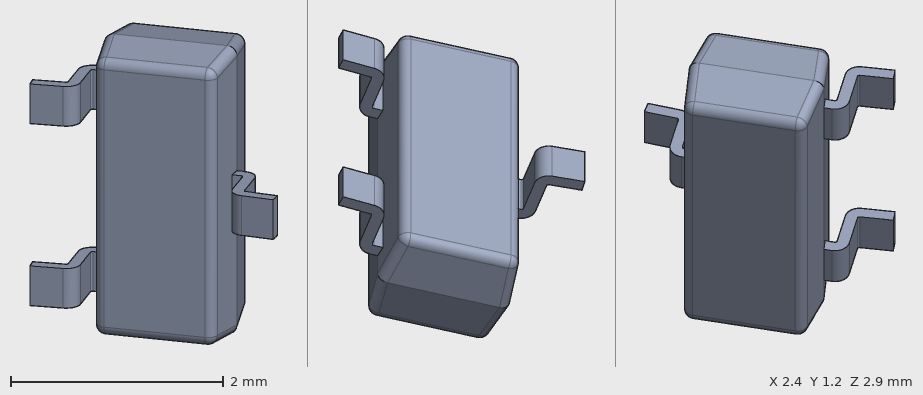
import cadquery as cq
import math

BODY_WIDTH = 1.3
BODY_HEIGHT = 2.9
BODY_DEPTH = 1.102
DRAFT_ANGLE = 7.0
EDGE_RADIUS = 0.1

LEAD_THICKNESS = 0.12
LEAD_WIDTH = 0.4
INNER_BEND_RADIUS = 0.02
OUTER_BEND_RADIUS = INNER_BEND_RADIUS + LEAD_THICKNESS
SHANK_OUTER_X = 0.865
SHANK_INNER_X = SHANK_OUTER_X - LEAD_THICKNESS
FOOT_TIP_X = 1.2
FOOT_BOTTOM_Y = -0.65
FOOT_ANGLE = 4.0
LEAD_OFFSET_Z = 0.915

LEFT = -1
RIGHT = 1
LEAD_PLACES = [(LEFT, -LEAD_OFFSET_Z), (LEFT, LEAD_OFFSET_Z), (RIGHT, 0.0)]


def make_body():
    """Two drafted halves that meet at their widest section, with rounded edges."""
    rear_half = (
        cq.Workplane("XZ")
        .rect(BODY_WIDTH, BODY_HEIGHT)
        .extrude(-BODY_DEPTH / 2, taper=DRAFT_ANGLE)
        .edges("not <Y")
        .fillet(EDGE_RADIUS)
    )
    front_half = rear_half.mirror("XZ")
    return rear_half.union(front_half).solids()


def make_lead(side, center_z):
    """A strip from the body's side face, bent down a shank and out to a sloping foot."""
    slope = math.radians(FOOT_ANGLE)
    tip_top_y = FOOT_BOTTOM_Y + LEAD_THICKNESS * math.cos(slope)
    tip_bottom_x = FOOT_TIP_X - LEAD_THICKNESS * math.sin(slope)
    foot_inner_y = tip_top_y + (FOOT_TIP_X - SHANK_OUTER_X) * math.tan(slope)
    foot_outer_y = FOOT_BOTTOM_Y + (tip_bottom_x - SHANK_INNER_X) * math.tan(slope)

    root_top_x = BODY_WIDTH / 2
    root_bottom_x = root_top_x - LEAD_THICKNESS * math.tan(math.radians(DRAFT_ANGLE))

    shoulder_outer = (SHANK_OUTER_X, 0.0)
    shoulder_inner = (SHANK_INNER_X, -LEAD_THICKNESS)
    ankle_inner = (SHANK_OUTER_X, foot_inner_y)
    ankle_outer = (SHANK_INNER_X, foot_outer_y)
    outline = [
        (root_top_x, 0.0),
        shoulder_outer,
        ankle_inner,
        (FOOT_TIP_X, tip_top_y),
        (tip_bottom_x, FOOT_BOTTOM_Y),
        ankle_outer,
        shoulder_inner,
        (root_bottom_x, -LEAD_THICKNESS),
    ]
    lead = cq.Workplane("XY").polyline(outline).close().extrude(LEAD_WIDTH / 2, both=True)

    bends = [
        (shoulder_outer, OUTER_BEND_RADIUS),
        (shoulder_inner, INNER_BEND_RADIUS),
        (ankle_inner, INNER_BEND_RADIUS),
        (ankle_outer, OUTER_BEND_RADIUS),
    ]
    for (corner_x, corner_y), radius in bends:
        corner_edge = cq.selectors.NearestToPointSelector((corner_x, corner_y, 0.0))
        lead = lead.edges("|Z").edges(corner_edge).fillet(radius)

    if side == LEFT:
        lead = lead.mirror("YZ")
    return lead.translate((0.0, 0.0, center_z)).solids()


body = make_body()
leads = [make_lead(side, center_z) for side, center_z in LEAD_PLACES]

result = cq.Compound.makeCompound([body.val(), *[lead.val() for lead in leads]])